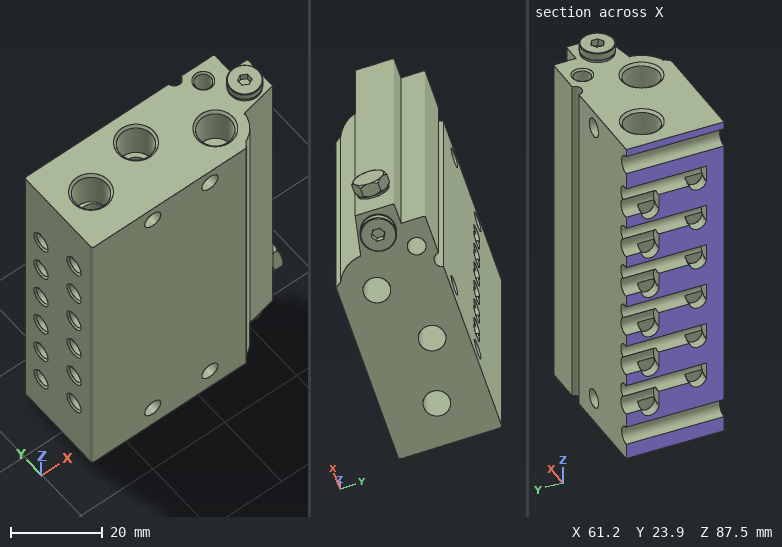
import cadquery as cq
import math

block_depth = 23.9
block_height = 82.5
shoulder_x = 52.85
arm_x = 57.75
arm_back_y = 18.4
arm_front_y = 9.45
corner_radius = 7.5
arm_root_y = 7.5
bevel_end_x = 43.9
front_end_x = 43.0
left_radius = 0.6
right_radius = 0.4

groove_x = 41.9
groove_radius = 1.75
groove_offset = 0.3

port_diameter = 8.6
port_depth = 10.0
port_chamfer = 0.6
bore_diameter = 6.0
port_centers = [(9.1, 11.9), (24.9, 16.1), (40.9, 8.3)]
bore_centers = [(10.0, 12.2), (24.9, 16.1), (39.55, 8.3)]

pilot_center = (46.6, 19.9)
pilot_diameter = 4.1
pilot_chamfer = 0.4

mount_diameter = 4.5
mount_xs = [16.9, 32.8]
mount_zs = [6.1, 78.3]

station_count = 6
station_pitch = 10.5
outlet_diameter = 4.1
outlet_chamfer = 0.4
outlet_depth = 19.2
passage_diameter = 4.0
passage_x = 17.5
front_outlet_y = 6.4
front_outlet_z = 15.9
front_passage_z = 17.5
back_outlet_y = 18.0
back_outlet_z = 11.9
back_passage_z = 13.9

total_height = 87.5
plug_height = (total_height - block_height) / 2
plug_center = (52.85, 13.1)
plug_diameter = 8.0
plug_edge_chamfer = 0.2
plug_collar_height = 0.6
plug_collar_diameter = 7.8
socket_flats = 2.7
socket_depth = 1.75
socket_turn = 30

total_length = 61.2
screw_y = 13.65
screw_z = 10.7
screw_flats = 7.0
collar_diameter = 7.2
collar_length = 0.4
screw_chamfer = 0.5


def hexagon_corners(flats):
    """Diameter of the circle through the corners of a hexagon."""
    return flats / math.cos(math.radians(30))


def countersunk_drill(diameter, depth, chamfer):
    """Cutter that goes down from the origin, with a chamfered mouth."""
    radius = diameter / 2
    return (
        cq.Workplane("XZ")
        .polyline([
            (0, 0),
            (radius + chamfer, 0),
            (radius, -chamfer),
            (radius, -depth),
            (0, -depth),
        ])
        .close()
        .revolve(360, (0, 0, 0), (0, 1, 0))
    )


def make_blank():
    center_x, center_y = port_centers[-1]
    bulge = corner_radius / math.sqrt(2)
    bevel_end_y = center_y - math.sqrt(corner_radius**2 - (bevel_end_x - center_x) ** 2)
    arm_root_x = center_x + math.sqrt(corner_radius**2 - (arm_root_y - center_y) ** 2)
    blank = (
        cq.Workplane("XY")
        .moveTo(0, 0)
        .lineTo(front_end_x, 0)
        .lineTo(bevel_end_x, bevel_end_y)
        .threePointArc((center_x + bulge, center_y - bulge), (arm_root_x, arm_root_y))
        .lineTo(arm_x, arm_front_y)
        .lineTo(arm_x, arm_back_y)
        .lineTo(shoulder_x, arm_back_y)
        .lineTo(shoulder_x, block_depth)
        .lineTo(0, block_depth)
        .close()
        .extrude(block_height)
    )
    blank = blank.edges("|Z and <X").fillet(left_radius)
    for corner in [(shoulder_x, block_depth), (arm_x, arm_back_y)]:
        upright_edge = cq.selectors.NearestToPointSelector((*corner, block_height / 2))
        blank = blank.edges(upright_edge).fillet(right_radius)
    return blank


def cut_groove(block):
    groove = (
        cq.Workplane("XY")
        .center(groove_x, block_depth + groove_offset)
        .circle(groove_radius)
        .extrude(block_height)
    )
    return block.cut(groove)


def cut_top_holes(block):
    port = countersunk_drill(port_diameter, port_depth, port_chamfer)
    for x, y in port_centers:
        block = block.cut(port.translate((x, y, block_height)))
    bores = cq.Workplane("XY").pushPoints(bore_centers).circle(bore_diameter / 2).extrude(block_height)
    pilot = countersunk_drill(pilot_diameter, block_height, pilot_chamfer)
    return block.cut(bores).cut(pilot.translate((*pilot_center, block_height)))


def cut_mounting_holes(block):
    spots = [(x, z) for x in mount_xs for z in mount_zs]
    holes = cq.Workplane("XZ").pushPoints(spots).circle(mount_diameter / 2).extrude(-block_depth)
    return block.cut(holes)


def cut_outlet_column(block, outlet_y, outlet_z, passage_z):
    """A column of outlets; each passage reaches the front side of its outlet."""
    outlet = countersunk_drill(outlet_diameter, outlet_depth, outlet_chamfer)
    outlet = outlet.rotate((0, 0, 0), (0, 1, 0), -90)
    passage_end_y = outlet_y - outlet_diameter / 2
    passage = (
        cq.Workplane("XZ", origin=(passage_x, passage_end_y, 0))
        .circle(passage_diameter / 2)
        .extrude(passage_end_y - block_depth)
    )
    for station in range(station_count):
        rise = station * station_pitch
        block = block.cut(outlet.translate((0, outlet_y, outlet_z + rise)))
        block = block.cut(passage.translate((0, 0, passage_z + rise)))
    return block


def make_block():
    block = make_blank()
    block = cut_groove(block)
    block = cut_top_holes(block)
    block = cut_mounting_holes(block)
    block = cut_outlet_column(block, front_outlet_y, front_outlet_z, front_passage_z)
    return cut_outlet_column(block, back_outlet_y, back_outlet_z, back_passage_z)


def make_plug():
    """Plug standing on the origin, with a hexagon socket in its top."""
    collar = cq.Workplane("XY").circle(plug_collar_diameter / 2).extrude(plug_collar_height)
    head = (
        cq.Workplane("XY", origin=(0, 0, plug_collar_height))
        .circle(plug_diameter / 2)
        .extrude(plug_height - plug_collar_height)
        .faces(">Z")
        .edges()
        .chamfer(plug_edge_chamfer)
    )
    socket = (
        cq.Workplane("XY", origin=(0, 0, plug_height))
        .transformed(rotate=(0, 0, socket_turn))
        .polygon(6, hexagon_corners(socket_flats))
        .extrude(-socket_depth)
    )
    return collar.union(head).cut(socket)


def make_plugs():
    plug = make_plug()
    top_plug = plug.translate((*plug_center, block_height))
    bottom_plug = plug.mirror("XY").translate((*plug_center, 0))
    return [top_plug, bottom_plug]


def make_bleed_screw():
    """Hexagon head on a round collar, seated on the right face of the arm."""
    head_length = total_length - arm_x - collar_length
    head_diameter = hexagon_corners(screw_flats)
    collar = cq.Workplane("YZ").circle(collar_diameter / 2).extrude(collar_length)
    head = (
        cq.Workplane("YZ", origin=(collar_length, 0, 0))
        .polygon(6, head_diameter)
        .extrude(head_length)
    )
    envelope = (
        cq.Workplane("YZ", origin=(collar_length, 0, 0))
        .circle(head_diameter / 2)
        .extrude(head_length)
        .edges()
        .chamfer(screw_chamfer)
    )
    return collar.union(head.intersect(envelope)).translate((arm_x, screw_y, screw_z))


block = make_block()
plugs = make_plugs()
bleed_screw = make_bleed_screw()
result = cq.Compound.makeCompound([
    block.val(),
    *[plug.val() for plug in plugs],
    bleed_screw.val(),
])